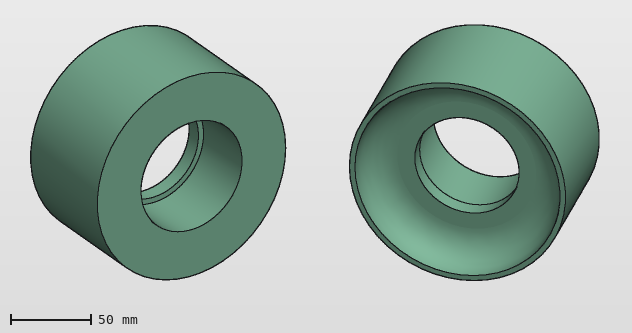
import cadquery as cq
import math

outer_diameter = 140.0
length = 76.0

rim_diameter = 132.7
floor_diameter = 89.9
dish_radius = (rim_diameter - floor_diameter) / 2

bore_diameter = 67.5
land_length = 10.8
counterbore_diameter = 75.0

front_x = -length / 2
back_x = length / 2
floor_x = front_x + dish_radius
shoulder_x = floor_x + land_length


def ring_body():
    """Revolve the dished, bored half-section about the X axis."""
    arc_offset = dish_radius * math.sqrt(0.5)
    section = (
        cq.Workplane("XY")
        .moveTo(front_x, outer_diameter / 2)
        .lineTo(front_x, rim_diameter / 2)
        .threePointArc(
            (front_x + arc_offset, floor_diameter / 2 + arc_offset),
            (floor_x, floor_diameter / 2),
        )
        .lineTo(floor_x, bore_diameter / 2)
        .lineTo(back_x, bore_diameter / 2)
        .lineTo(back_x, outer_diameter / 2)
        .close()
    )
    return section.revolve(360, (0, 0, 0), (1, 0, 0))


def counterbore():
    """Cylinder that widens the bore from the shoulder to the back face."""
    return (
        cq.Workplane("YZ", origin=(shoulder_x, 0, 0))
        .circle(counterbore_diameter / 2)
        .extrude(back_x - shoulder_x)
    )


result = ring_body().cut(counterbore())